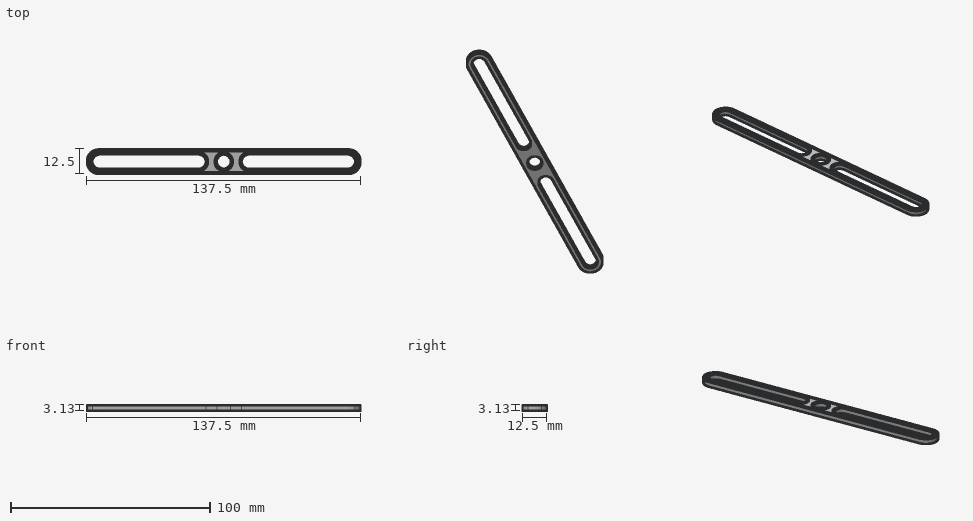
import cadquery as cq

LENGTH = 137.5
WIDTH = 12.5
THICKNESS = 3.125
OPENING_DIAMETER = 7.0
COLLAR_DIAMETER = 9.2
SLOT_INNER_CENTRE = 12.5
RECESS_DEPTH = 0.2
EDGE_CHAMFER = 0.3

rim_width = (COLLAR_DIAMETER - OPENING_DIAMETER) / 2
recess_width = WIDTH - 2 * rim_width
recess_floor = THICKNESS - RECESS_DEPTH
end_arc_centre = (LENGTH - WIDTH) / 2
slot_centre = (end_arc_centre + SLOT_INNER_CENTRE) / 2
slot_arc_spacing = end_arc_centre - SLOT_INNER_CENTRE


def stadium(arc_spacing, width, bottom, top, x_centre=0):
    """Round-ended block along X, given the distance between its end arc centres."""
    return (
        cq.Workplane("XY", origin=(x_centre, 0, bottom))
        .slot2D(arc_spacing + width, width)
        .extrude(top - bottom)
    )


def hole_and_slots(width, bottom, top):
    """Round column at the centre plus one slot-shaped column on each side."""
    columns = cq.Workplane("XY", origin=(0, 0, bottom)).circle(width / 2).extrude(top - bottom)
    for side in (-1, 1):
        slot = stadium(slot_arc_spacing, width, bottom, top, side * slot_centre)
        columns = columns.union(slot)
    return columns


def chamfered_bar():
    """Round-ended bar with its through openings, chamfered on both flat faces."""
    blank = stadium(2 * end_arc_centre, WIDTH, 0, THICKNESS)
    pierced = blank.cut(hole_and_slots(OPENING_DIAMETER, 0, THICKNESS))
    return pierced.faces("<Z or >Z").edges().chamfer(EDGE_CHAMFER)


def top_recess():
    """Volume removed from the top face, leaving the outer rim and the collars standing."""
    field = stadium(2 * end_arc_centre, recess_width, recess_floor, THICKNESS)
    return field.cut(hole_and_slots(COLLAR_DIAMETER, recess_floor, THICKNESS))


result = chamfered_bar().cut(top_recess())